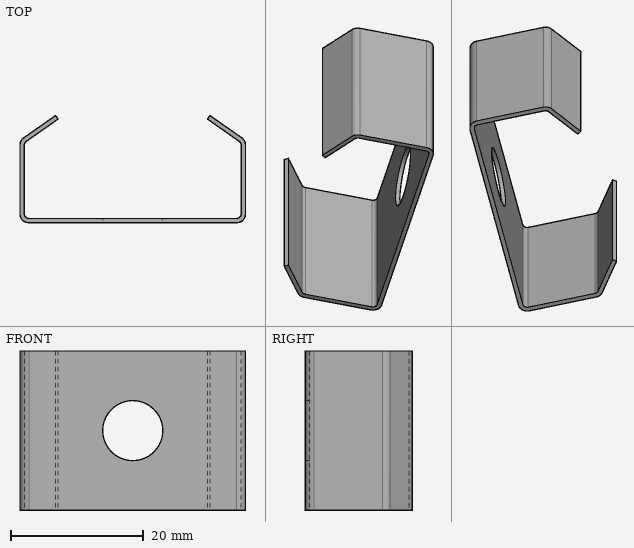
import cadquery as cq
import math

width = 34.0
depth = 16.2
height = 24.0

thickness = 0.68
outer_bend_radius = 1.35
inner_bend_radius = outer_bend_radius - thickness
lip_angle = 35.0

lip_reach = 5.78

hole_diameter = 9.0

half_width = width / 2
lip_cos = math.cos(math.radians(lip_angle))
lip_sin = math.sin(math.radians(lip_angle))

lip_inner_tip = (half_width - lip_reach, depth - thickness * lip_cos)
lip_outer_tip = (lip_inner_tip[0] + thickness * lip_sin, depth)

outer_side_x = half_width
inner_side_x = half_width - thickness
lip_slope = lip_sin / lip_cos
outer_shoulder_y = lip_outer_tip[1] - (outer_side_x - lip_outer_tip[0]) * lip_slope
inner_shoulder_y = lip_inner_tip[1] - (inner_side_x - lip_inner_tip[0]) * lip_slope


def mirror_points(points):
    """Reflect points across the YZ plane, in reverse order."""
    return [(-x, y) for x, y in reversed(points)]


def round_bends(body, points, radius):
    """Round the vertical edges standing at the given profile corners."""
    for x, y in points:
        edge = cq.selectors.NearestToPointSelector((x, y, 0))
        body = body.edges("|Z").edges(edge).fillet(radius)
    return body


def make_sheet():
    """Open channel with inward lips, extruded along Z with rounded bends."""
    outer_right = [(outer_side_x, 0), (outer_side_x, outer_shoulder_y)]
    inner_right = [(inner_side_x, inner_shoulder_y), (inner_side_x, thickness)]
    right_half = outer_right + [lip_outer_tip, lip_inner_tip] + inner_right
    profile = right_half + mirror_points(right_half)
    sheet = cq.Workplane("XY").polyline(profile).close().extrude(height / 2, both=True)
    sheet = round_bends(sheet, outer_right + mirror_points(outer_right), outer_bend_radius)
    return round_bends(sheet, inner_right + mirror_points(inner_right), inner_bend_radius)


def make_hole_cutter():
    """Cylinder along Y through the centre of the wall at Y = 0 only."""
    return cq.Workplane("XZ").circle(hole_diameter / 2).extrude(-2 * thickness)


result = make_sheet().cut(make_hole_cutter())